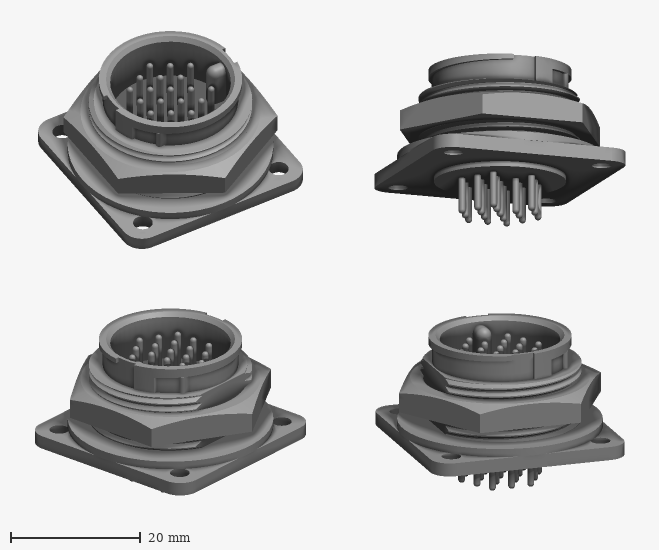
import cadquery as cq
import math


OVERALL_HEIGHT = 23.23

FLANGE_SIDE = 31.48
FLANGE_THICKNESS = 2.1
FLANGE_CORNER_RADIUS = 3.17
MOUNTING_HOLE_SPACING = 24.35
MOUNTING_HOLE_DIAMETER = 3.05

COLLAR_RADIUS = 15.87
COLLAR_TOP = 3.4
BASE_RADIUS = 10.2
BASE_HEIGHT = 0.8

THREAD_RADIUS = 12.6
THREAD_ROOT_RADIUS = 11.85
TWO_TURN_ADVANCE = 2.55
THREAD_PITCH = TWO_TURN_ADVANCE / 2
THREAD_CREST_WIDTH = 0.2
THREAD_HALF_ANGLE = 30
THREAD_TOP = 12.55
THREAD_TURNS = 9
THREAD_START = 2.25
FLAT_OFFSET = 10.7
OVERLAP = 0.1

RIM_Z = 16.85
SHELL_RADIUS = 10.45
BORE_RADIUS = 9.3
BORE_FLOOR = 9.2
BORE_CHAMFER = 0.63

LUG_RADIUS = 11.05
LUG_BOTTOM = 12.75
NOTCH_WIDTH = 3.63
STOP_END_X = 4.98
RAMP_PITCH = 1.98
RAMP_LOW_Z = 15.15
DETENT_RADIUS = 0.53
DETENT_X = 8.15
DETENT_Y = 6.83
DETENT_TOP = 15.48

PIN_RADIUS = 0.53
PIN_SPACING = 3.15
PIN_TOP = 15.15
PIN_BOTTOM = RIM_Z - OVERALL_HEIGHT
KEY_WIDTH = 2.48
KEY_RADIUS = KEY_WIDTH / 2
KEY_CENTER_Y = 7.82
KEY_TOP = 15.7

NUT_ACROSS_CORNERS = 33
NUT_BOTTOM = 6.07
NUT_TOP = 10.1
NUT_TOP_RADIUS = 13.9
NUT_CHAMFER_DROP = 1


def cylinder(radius, bottom, top, x=0, y=0):
    return cq.Workplane("XY", origin=(x, y, bottom)).circle(radius).extrude(top - bottom)


def block(x_min, x_max, y_min, y_max, z_min, z_max):
    size = (x_max - x_min, y_max - y_min, z_max - z_min)
    return cq.Workplane("XY", origin=(x_min, y_min, z_min)).box(*size, centered=False)


def helical_sweep(profile_points, pitch, height, radius, start_z):
    """Sweep an outline of (radius, z) points along a right-handed helix that starts on +X."""
    path = cq.Wire.makeHelix(pitch, height, radius, center=cq.Vector(0, 0, start_z))
    return cq.Workplane("XZ").polyline(profile_points).close().sweep(cq.Workplane(path), isFrenet=True)


def threaded_rod():
    """Externally threaded cylinder, before the flat is cut."""
    base_radius = THREAD_ROOT_RADIUS - OVERLAP
    half_crest = THREAD_CREST_WIDTH / 2
    flank_rise = (THREAD_RADIUS - base_radius) * math.tan(math.radians(THREAD_HALF_ANGLE))
    half_base = half_crest + flank_rise
    ridge = helical_sweep(
        [
            (base_radius, THREAD_START - half_base),
            (THREAD_RADIUS, THREAD_START - half_crest),
            (THREAD_RADIUS, THREAD_START + half_crest),
            (base_radius, THREAD_START + half_base),
        ],
        THREAD_PITCH,
        THREAD_PITCH * THREAD_TURNS,
        THREAD_ROOT_RADIUS,
        THREAD_START,
    )
    trimmed_ridge = ridge.intersect(cylinder(COLLAR_RADIUS, COLLAR_TOP, THREAD_TOP))
    return cylinder(THREAD_ROOT_RADIUS, COLLAR_TOP, THREAD_TOP).union(trimmed_ridge)


def flange():
    plate = (
        cq.Workplane("XY")
        .rect(FLANGE_SIDE, FLANGE_SIDE)
        .extrude(FLANGE_THICKNESS)
        .edges("|Z")
        .fillet(FLANGE_CORNER_RADIUS)
    )
    holes = (
        cq.Workplane("XY")
        .rect(MOUNTING_HOLE_SPACING, MOUNTING_HOLE_SPACING, forConstruction=True)
        .vertices()
        .circle(MOUNTING_HOLE_DIAMETER / 2)
        .extrude(FLANGE_THICKNESS)
    )
    collar = cylinder(COLLAR_RADIUS, FLANGE_THICKNESS, COLLAR_TOP)
    base = cylinder(BASE_RADIUS, -BASE_HEIGHT, 0)
    return plate.cut(holes).union(collar).union(base)


def bayonet_lug():
    """Lug on the -X half: a ramp that falls from -Y to +Y, a stop block at +Y and a detent."""
    inner_radius = SHELL_RADIUS - OVERLAP
    relief_inner = inner_radius - OVERLAP
    relief_outer = LUG_RADIUS + OVERLAP
    relief_depth = RAMP_LOW_Z - LUG_BOTTOM + RAMP_PITCH
    relief = helical_sweep(
        [
            (relief_inner, RAMP_LOW_Z - relief_depth),
            (relief_outer, RAMP_LOW_Z - relief_depth),
            (relief_outer, RAMP_LOW_Z),
            (relief_inner, RAMP_LOW_Z),
        ],
        RAMP_PITCH,
        RAMP_PITCH / 2,
        LUG_RADIUS,
        RAMP_LOW_Z,
    ).rotate((0, 0, 0), (0, 0, 1), 90)

    ring = cylinder(LUG_RADIUS, LUG_BOTTOM, RIM_Z).cut(cylinder(inner_radius, LUG_BOTTOM, RIM_Z))
    half_notch = NOTCH_WIDTH / 2
    half_ring = ring.intersect(block(-LUG_RADIUS, -half_notch, -LUG_RADIUS, LUG_RADIUS, LUG_BOTTOM, RIM_Z))
    stop = half_ring.intersect(block(-STOP_END_X, -half_notch, 0, LUG_RADIUS, LUG_BOTTOM, RIM_Z))

    nose = cylinder(DETENT_RADIUS, LUG_BOTTOM, DETENT_TOP, -DETENT_X, DETENT_Y)
    detent_left = -DETENT_X - DETENT_RADIUS
    detent_right = -DETENT_X + DETENT_RADIUS
    stem = block(detent_left, detent_right, 0, DETENT_Y, LUG_BOTTOM, DETENT_TOP)
    detent = nose.union(stem).cut(cylinder(inner_radius, LUG_BOTTOM, DETENT_TOP))

    return half_ring.cut(relief).union(stop).union(detent)


def key():
    """Upright rib on the bore wall with a round front and a round top."""
    dome_z = KEY_TOP - KEY_RADIUS
    wall_y = (BORE_RADIUS + SHELL_RADIUS) / 2
    front = cylinder(KEY_RADIUS, BORE_FLOOR, dome_z, 0, KEY_CENTER_Y)
    dome = cq.Workplane("XY", origin=(0, KEY_CENTER_Y, dome_z)).sphere(KEY_RADIUS)
    web = block(-KEY_RADIUS, KEY_RADIUS, KEY_CENTER_Y, wall_y, BORE_FLOOR, dome_z)
    crown_length = wall_y - KEY_CENTER_Y
    crown = cq.Workplane("XZ", origin=(0, KEY_CENTER_Y, dome_z)).circle(KEY_RADIUS).extrude(-crown_length)
    inside_shell = cylinder(SHELL_RADIUS, BORE_FLOOR, RIM_Z)
    return front.union(web).union(crown).union(dome).intersect(inside_shell)


def pin_positions():
    """Triangular grid of five rows, with the middle place of the top row left for the key."""
    row_spacing = PIN_SPACING * math.sin(math.radians(60))
    pins_per_row = {-2: 3, -1: 4, 0: 5, 1: 4, 2: 3}
    positions = []
    for row, count in pins_per_row.items():
        for index in range(count):
            column = index - (count - 1) / 2
            if row == 2 and column == 0:
                continue
            positions.append((column * PIN_SPACING, row * row_spacing))
    return positions


def make_nut(rod):
    """Hexagonal nut with a conical top chamfer and a thread that mates with the rod."""
    hexagon = (
        cq.Workplane("XY", origin=(0, 0, NUT_BOTTOM))
        .polygon(6, NUT_ACROSS_CORNERS)
        .extrude(NUT_TOP - NUT_BOTTOM)
    )
    corner_radius = NUT_ACROSS_CORNERS / 2
    chamfer_envelope = (
        cq.Workplane("XZ")
        .polyline(
            [
                (0, NUT_BOTTOM),
                (corner_radius, NUT_BOTTOM),
                (corner_radius, NUT_TOP - NUT_CHAMFER_DROP),
                (NUT_TOP_RADIUS, NUT_TOP),
                (0, NUT_TOP),
            ]
        )
        .close()
        .revolve(360, (0, 0, 0), (0, 1, 0))
    )
    return hexagon.intersect(chamfer_envelope).cut(rod)


def make_pin(x, y):
    """Straight contact with hemispherical ends."""
    low_center = PIN_BOTTOM + PIN_RADIUS
    high_center = PIN_TOP - PIN_RADIUS
    shaft = cylinder(PIN_RADIUS, low_center, high_center, x, y)
    for center in (low_center, high_center):
        shaft = shaft.union(cq.Workplane("XY", origin=(x, y, center)).sphere(PIN_RADIUS))
    return shaft


def make_connector(rod):
    """Flanged housing, shell, key and contacts as one solid."""
    flat_side = block(-FLAT_OFFSET, COLLAR_RADIUS, -COLLAR_RADIUS, COLLAR_RADIUS, COLLAR_TOP, THREAD_TOP)
    shell = cylinder(SHELL_RADIUS, THREAD_TOP, RIM_Z)
    bore = cylinder(BORE_RADIUS, BORE_FLOOR, RIM_Z)
    mouth = cq.Workplane(
        cq.Solid.makeCone(
            BORE_RADIUS,
            BORE_RADIUS + BORE_CHAMFER,
            BORE_CHAMFER,
            pnt=cq.Vector(0, 0, RIM_Z - BORE_CHAMFER),
        )
    )
    body = rod.intersect(flat_side).union(flange()).union(shell)
    lug = bayonet_lug()
    for angle in (0, 180):
        body = body.union(lug.rotate((0, 0, 0), (0, 0, 1), angle))
    body = body.cut(bore).cut(mouth).union(key())
    for x, y in pin_positions():
        body = body.union(make_pin(x, y))
    return body


rod = threaded_rod()
connector = make_connector(rod)
nut = make_nut(rod)
result = cq.Compound.makeCompound([connector.solids().val(), nut.solids().val()])